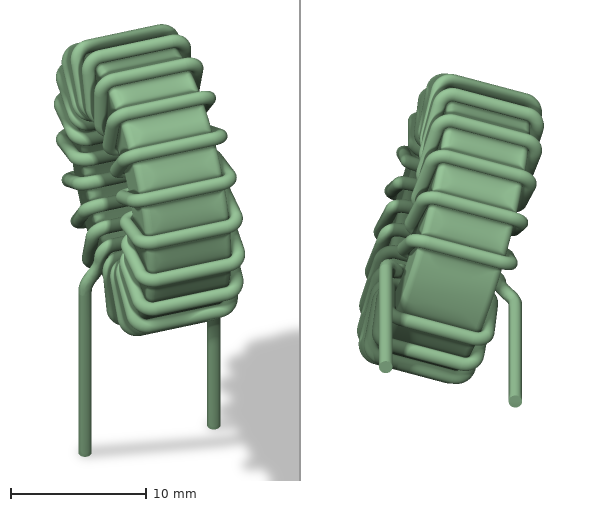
import cadquery as cq
import math


CORE_OUTER_RADIUS = 20.4 / 2
CORE_INNER_RADIUS = 12.4 / 2
CORE_WIDTH = 6.5

WIRE_DIAMETER = 1.0
WIRE_RADIUS = WIRE_DIAMETER / 2
WIRE_CLEARANCE = 0.02
STATION_COUNT = 20
TURN_COUNT = STATION_COUNT - 1
STATION_ANGLE = 360 / STATION_COUNT
FIRST_ANGLE = -90

CORE_EDGE_RADIUS = WIRE_RADIUS
WIRE_OFFSET = WIRE_CLEARANCE + WIRE_RADIUS
BEND_RADIUS = CORE_EDGE_RADIUS + WIRE_OFFSET
OUTER_PASS_RADIUS = CORE_OUTER_RADIUS + WIRE_OFFSET
INNER_PASS_RADIUS = CORE_INNER_RADIUS - WIRE_OFFSET
FACE_PASS_Y = CORE_WIDTH / 2 + WIRE_OFFSET

OVERALL_HEIGHT = 36.9
OVERALL_DEPTH = 11.0
LEAD_Y = (OVERALL_DEPTH - WIRE_DIAMETER) / 2
LEAD_TOP_Z = -(CORE_OUTER_RADIUS - CORE_EDGE_RADIUS)
LEAD_END_Z = OUTER_PASS_RADIUS + WIRE_RADIUS - OVERALL_HEIGHT

FRONT = -1
BACK = 1
UP = cq.Vector(0, 0, 1)
DOWN = -UP


def make_core():
    """Ring with rounded edges, centred on the origin with its axis along Y."""
    return (
        cq.Workplane("XZ", origin=(0, CORE_WIDTH / 2, 0))
        .circle(CORE_OUTER_RADIUS)
        .circle(CORE_INNER_RADIUS)
        .extrude(CORE_WIDTH)
        .edges("%CIRCLE")
        .fillet(CORE_EDGE_RADIUS)
    )


def corner(radius, angle, side):
    """Corner of the winding at a polar position, on the front or back face of the core."""
    angle = math.radians(angle)
    return cq.Vector(radius * math.cos(angle), side * FACE_PASS_Y, radius * math.sin(angle))


def winding_corners():
    """Corners from the front lead to the back lead.

    The wire runs radially across the front face. On the back face it slants to the next station.
    """
    corners = []
    for turn in range(STATION_COUNT):
        angle = FIRST_ANGLE - turn * STATION_ANGLE
        next_angle = angle - STATION_ANGLE
        corners.append(corner(INNER_PASS_RADIUS, angle, FRONT))
        corners.append(corner(INNER_PASS_RADIUS, angle, BACK))
        if turn < TURN_COUNT:
            corners.append(corner(OUTER_PASS_RADIUS, next_angle, BACK))
            corners.append(corner(OUTER_PASS_RADIUS, next_angle, FRONT))
    return corners


def bend_edge(before, at, after):
    """Quarter-circle bend that rounds the right-angled corner `at`."""
    arrive = (at - before).normalized()
    leave = (after - at).normalized()
    start = at - arrive * BEND_RADIUS
    end = at + leave * BEND_RADIUS
    centre = start + leave * BEND_RADIUS
    middle = centre + (arrive - leave).normalized() * BEND_RADIUS
    return cq.Edge.makeThreePointArc(start, middle, end)


def wire_path():
    """Centre line of the whole wire: lead, winding, lead."""
    corners = winding_corners()
    lead_corner = corner(OUTER_PASS_RADIUS, FIRST_ANGLE, FRONT)
    last_corner = corner(OUTER_PASS_RADIUS, FIRST_ANGLE, BACK)
    stops = [lead_corner, *corners, last_corner]
    bends = [bend_edge(*stops[i - 1 : i + 2]) for i in range(1, len(stops) - 1)]

    front_end = cq.Vector(0, FRONT * LEAD_Y, LEAD_END_Z)
    front_top = cq.Vector(0, FRONT * LEAD_Y, LEAD_TOP_Z)
    back_end = cq.Vector(0, BACK * LEAD_Y, LEAD_END_Z)
    back_top = cq.Vector(0, BACK * LEAD_Y, LEAD_TOP_Z)

    edges = [
        cq.Edge.makeLine(front_end, front_top),
        cq.Edge.makeSpline([front_top, bends[0].startPoint()], [UP, bends[0].tangentAt(0)]),
    ]
    for bend, next_bend in zip(bends, bends[1:]):
        edges.append(bend)
        edges.append(cq.Edge.makeLine(bend.endPoint(), next_bend.startPoint()))
    edges.append(bends[-1])
    edges.append(cq.Edge.makeSpline([bends[-1].endPoint(), back_top], [bends[-1].tangentAt(1), DOWN]))
    edges.append(cq.Edge.makeLine(back_top, back_end))
    return cq.Wire.assembleEdges(edges)


def make_winding():
    """Round wire swept along its centre line, starting at the foot of the front lead."""
    return (
        cq.Workplane("XY", origin=(0, FRONT * LEAD_Y, LEAD_END_Z))
        .circle(WIRE_RADIUS)
        .sweep(wire_path())
    )


core = make_core()
winding = make_winding()
result = cq.Compound.makeCompound([core.val(), winding.val()])